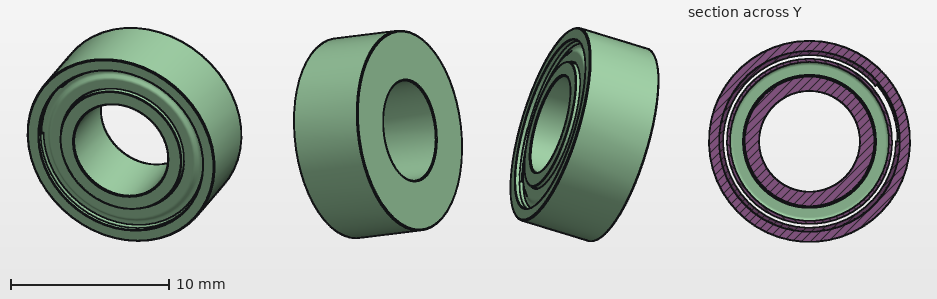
import cadquery as cq
import math


outer_radius = 12.7 / 2
bore_radius = 6.35 / 2
width = 4.76
front_y = -width / 2
back_y = width / 2
outer_chamfer = 0.07
recess_chamfer = 0.04
recess_inner_radius = 4.105
recess_outer_radius = 5.56

shield_depth = 0.26
shield_thickness = 0.15
shield_bore_radius = 4.19
hub_flat_radius = 4.795
bend_radius = 0.2286
web_angle = math.radians(45)
web_run = 0.122

ring_thickness = 0.195
ring_edge_radius = 0.13
ring_inner_radius = recess_outer_radius - ring_edge_radius
ring_outer_radius = recess_outer_radius + ring_edge_radius
ring_gap_degrees = 40
ring_end_degrees = 50

bend_run = bend_radius * math.sin(web_angle)
bend_drop = bend_radius * (1 - math.cos(web_angle))
web_drop = web_run * math.tan(web_angle)
hub_y = front_y + shield_depth
web_inner = (hub_y + bend_drop, hub_flat_radius + bend_run)
web_outer = (web_inner[0] + web_drop, web_inner[1] + web_run)
rim_y = web_outer[0] + bend_drop
rim_flat_radius = web_outer[1] + bend_run

half_bend_run = bend_radius * math.sin(web_angle / 2)
half_bend_drop = bend_radius * (1 - math.cos(web_angle / 2))
hub_bend_middle = (hub_y + half_bend_drop, hub_flat_radius + half_bend_run)
rim_bend_middle = (rim_y - half_bend_drop, rim_flat_radius - half_bend_run)

recess_floor_y = rim_y + shield_thickness
ring_front_y = rim_y - ring_thickness


def revolve_about_axis(profile, degrees=360):
    return profile.revolve(degrees, (0, 0, 0), (1, 0, 0))


def make_race():
    """One ring with a recess for the shield and a groove for the snap ring."""
    profile = (
        cq.Workplane("YZ")
        .moveTo(front_y, bore_radius + outer_chamfer)
        .lineTo(front_y, recess_inner_radius - recess_chamfer)
        .lineTo(front_y + recess_chamfer, recess_inner_radius)
        .lineTo(recess_floor_y, recess_inner_radius)
        .lineTo(recess_floor_y, recess_outer_radius)
        .lineTo(rim_y, recess_outer_radius)
        .lineTo(rim_y, ring_outer_radius)
        .lineTo(ring_front_y, ring_outer_radius)
        .lineTo(ring_front_y, recess_outer_radius)
        .lineTo(front_y + recess_chamfer, recess_outer_radius)
        .lineTo(front_y, recess_outer_radius + recess_chamfer)
        .lineTo(front_y, outer_radius - outer_chamfer)
        .lineTo(front_y + outer_chamfer, outer_radius)
        .lineTo(back_y - outer_chamfer, outer_radius)
        .lineTo(back_y, outer_radius - outer_chamfer)
        .lineTo(back_y, bore_radius + outer_chamfer)
        .lineTo(back_y - outer_chamfer, bore_radius)
        .lineTo(front_y + outer_chamfer, bore_radius)
        .close()
    )
    return revolve_about_axis(profile)


def set_back(point):
    """The point behind a front-surface point, one sheet thickness along Y."""
    y, radius = point
    return (y + shield_thickness, radius)


def make_shield():
    hub_inner = (hub_y, shield_bore_radius)
    hub_outer = (hub_y, hub_flat_radius)
    rim_inner = (rim_y, rim_flat_radius)
    rim_outer = (rim_y, recess_outer_radius)
    profile = (
        cq.Workplane("YZ")
        .moveTo(*hub_inner)
        .lineTo(*hub_outer)
        .threePointArc(hub_bend_middle, web_inner)
        .lineTo(*web_outer)
        .threePointArc(rim_bend_middle, rim_inner)
        .lineTo(*rim_outer)
        .lineTo(*set_back(rim_outer))
        .lineTo(*set_back(rim_inner))
        .threePointArc(set_back(rim_bend_middle), set_back(web_outer))
        .lineTo(*set_back(web_inner))
        .threePointArc(set_back(hub_bend_middle), set_back(hub_outer))
        .lineTo(*set_back(hub_inner))
        .close()
    )
    return revolve_about_axis(profile)


def make_snap_ring():
    edge_offset = ring_edge_radius * (1 - math.sqrt(0.5))
    edge_middle = (ring_front_y + edge_offset, ring_inner_radius + edge_offset)
    profile = (
        cq.Workplane("YZ")
        .moveTo(rim_y, ring_inner_radius)
        .lineTo(ring_front_y + ring_edge_radius, ring_inner_radius)
        .threePointArc(edge_middle, (ring_front_y, ring_inner_radius + ring_edge_radius))
        .lineTo(ring_front_y, ring_outer_radius)
        .lineTo(rim_y, ring_outer_radius)
        .close()
    )
    ring = revolve_about_axis(profile, 360 - ring_gap_degrees)
    return ring.rotate((0, 0, 0), (0, 1, 0), -ring_end_degrees)


race = make_race()
shield = make_shield()
snap_ring = make_snap_ring()

result = cq.Compound.makeCompound([race.val(), shield.val(), snap_ring.val()])